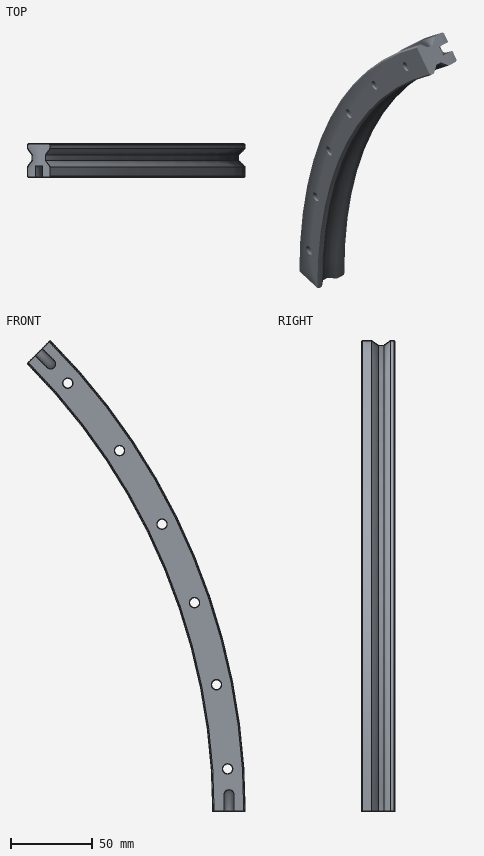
import cadquery as cq
import math

height = 290.0
sweep_angle = 45.0
rail_width = 20.0
thickness = 21.0
edge_chamfer = 1.0

outer_radius = height / math.sin(math.radians(sweep_angle))
inner_radius = outer_radius - rail_width
mid_radius = (outer_radius + inner_radius) / 2

groove_depth = 4.0
groove_floor_width = 3.5
groove_mouth_width = groove_floor_width + 2 * groove_depth
groove_back_land = 3.0
groove_centre = thickness - groove_back_land - groove_mouth_width / 2

hole_count = 6
hole_diameter = 6.0
hole_pitch_angle = sweep_angle / hole_count

slot_width = 6.0
slot_length = 13.3
slot_depth = 7.0


def side_points(radius, inward):
    """Profile of one curved side from front to back; inward is the sign of the radial step into the rail."""
    half_mouth = groove_mouth_width / 2
    half_floor = groove_floor_width / 2
    chamfered = radius + inward * edge_chamfer
    floor = radius + inward * groove_depth
    return [
        (chamfered, 0),
        (radius, edge_chamfer),
        (radius, groove_centre - half_mouth),
        (floor, groove_centre - half_floor),
        (floor, groove_centre + half_floor),
        (radius, groove_centre + half_mouth),
        (radius, thickness - edge_chamfer),
        (chamfered, thickness),
    ]


def rail_body():
    outer_side = side_points(outer_radius, -1)
    inner_side = side_points(inner_radius, 1)
    profile = cq.Workplane("XY").polyline(outer_side + inner_side[::-1]).close()
    return profile.revolve(sweep_angle, (0, 0, 0), (0, -1, 0))


def at_angle(shape, angle):
    """Turn a shape about the arc axis, from +X towards +Z."""
    return shape.rotate((0, 0, 0), (0, -1, 0), angle)


def mounting_hole():
    return (
        cq.Workplane("XZ")
        .center(mid_radius, 0)
        .circle(hole_diameter / 2)
        .extrude(-thickness)
    )


def joint_slot(direction):
    """Slot starting at zero angle and running along Z in the given direction."""
    straight_length = slot_length - slot_width / 2
    half_width = slot_width / 2
    return (
        cq.Workplane("XZ")
        .moveTo(mid_radius - half_width, 0)
        .lineTo(mid_radius - half_width, direction * straight_length)
        .threePointArc(
            (mid_radius, direction * slot_length),
            (mid_radius + half_width, direction * straight_length),
        )
        .lineTo(mid_radius + half_width, 0)
        .close()
        .extrude(-slot_depth)
    )


result = rail_body()
for index in range(hole_count):
    result = result.cut(at_angle(mounting_hole(), (index + 0.5) * hole_pitch_angle))
result = result.cut(joint_slot(1))
result = result.cut(at_angle(joint_slot(-1), sweep_angle))